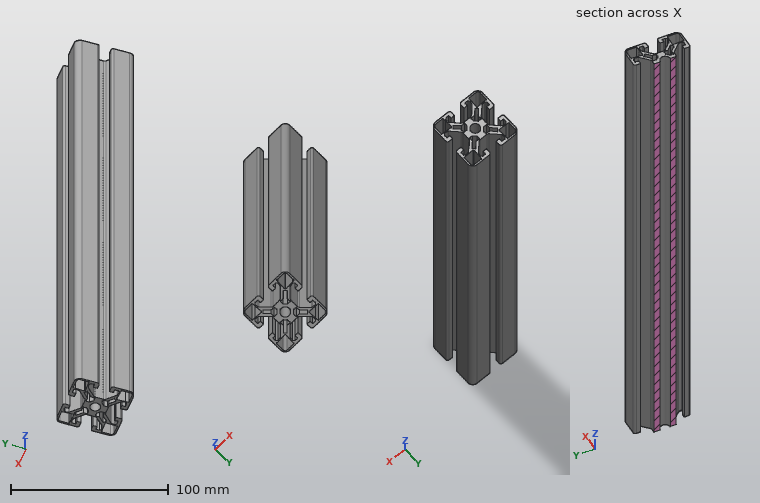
import cadquery as cq
import math

SIDE = 40.0
LENGTH = 320.0
CORNER_RADIUS = 4.0
HALF = SIDE / 2
SIDE_COUNT = 4

BORE_DIAMETER = 6.85

MOUTH_HALF_WIDTH = 4.0
MOUTH_RADIUS = 1.5
LIP_DEPTH = 4.5
LIP_THICKNESS = 2.8
LIP_ROOT_THICKNESS = 2.15
SLOT_HALF_WIDTH = 10.2
BEND_HALF_WIDTH = 9.8
BEND_RADIUS = 0.75
SLOT_ROOF_CHAMFER = 1.0
SLOT_FLOOR_HEIGHT = 8.0
SLOT_FLOOR_RADIUS = 1.8
SPOKE_OFFSET = 4.4

SKIN = 1.2
SLOT_WALL = 0.7
SPOKE_WALL = 1.9
FLOOR_WALL = 0.8
CORNER_CAVITY_RADIUS = 1.8
CORNER_CAVITY_CHAMFER = 0.4
TIE_HALF_WIDTH = 2.7
CORE_DISTANCE = 5.3
SEPARATOR_DISTANCE = 14.1


def mirror_points(points):
    """The points followed, in reverse order, by their mirror images in the Y axis."""
    return points + [(-x, y) for x, y in reversed(points)]


def make_blank():
    return cq.Workplane("XY").rect(SIDE, SIDE).extrude(LENGTH).edges("|Z").fillet(CORNER_RADIUS)


def make_mouth():
    """Opening between two lips, flared by the rounded outer edges of the lips."""
    round_start = MOUTH_HALF_WIDTH + MOUTH_RADIUS
    round_end = HALF - MOUTH_RADIUS
    mouth_bottom = SLOT_FLOOR_HEIGHT + SPOKE_OFFSET
    return (
        cq.Workplane("XY")
        .moveTo(round_start, HALF)
        .radiusArc((MOUTH_HALF_WIDTH, round_end), -MOUTH_RADIUS)
        .lineTo(MOUTH_HALF_WIDTH, mouth_bottom)
        .lineTo(-MOUTH_HALF_WIDTH, mouth_bottom)
        .lineTo(-MOUTH_HALF_WIDTH, round_end)
        .radiusArc((-round_start, HALF), -MOUTH_RADIUS)
        .close()
        .extrude(LENGTH)
    )


def make_slot():
    """T-slot in the +Y side, with hooked lips, slanting sides and a flat floor."""
    bend_height = BEND_HALF_WIDTH + SPOKE_OFFSET
    lip_tip = HALF - LIP_DEPTH
    roof = HALF - LIP_ROOT_THICKNESS
    hook = MOUTH_HALF_WIDTH + LIP_THICKNESS
    right_side = [
        (SLOT_FLOOR_HEIGHT - SPOKE_OFFSET, SLOT_FLOOR_HEIGHT),
        (BEND_HALF_WIDTH, bend_height),
        (SLOT_HALF_WIDTH, roof - SLOT_ROOF_CHAMFER),
        (SLOT_HALF_WIDTH - SLOT_ROOF_CHAMFER, roof),
        (hook, roof),
        (hook, lip_tip),
    ]
    chamber = cq.Workplane("XY").polyline(mirror_points(right_side)).close().extrude(LENGTH)
    chamber = chamber.edges("|Z and <Y").fillet(SLOT_FLOOR_RADIUS)
    for x in (-BEND_HALF_WIDTH, BEND_HALF_WIDTH):
        bend = cq.NearestToPointSelector((x, bend_height, LENGTH / 2))
        chamber = chamber.edges("|Z").edges(bend).fillet(BEND_RADIUS)
    return chamber.union(make_mouth())


def make_corner_cavity():
    """Kite-shaped cavity in the +X +Y corner, rounded outside and blunted inside."""
    inner = BEND_HALF_WIDTH + SLOT_WALL
    side = SLOT_HALF_WIDTH + SLOT_WALL
    outer = HALF - SKIN
    outline = [(inner, inner), (outer, side), (outer, outer), (side, outer)]
    cavity = cq.Workplane("XY").polyline(outline).close().extrude(LENGTH)
    cavity = cavity.edges("|Z and >(1,1,0)").fillet(CORNER_CAVITY_RADIUS)
    return cavity.edges("|Z and <(1,1,0)").chamfer(CORNER_CAVITY_CHAMFER)


def make_spoke_cavity():
    """Cavity inside the +X +Y diagonal spoke, widening under the slot floors."""
    roof = SLOT_FLOOR_HEIGHT - FLOOR_WALL
    offset = SPOKE_OFFSET - SPOKE_WALL * math.sqrt(2)
    core_sum = CORE_DISTANCE * math.sqrt(2)
    separator_sum = SEPARATOR_DISTANCE * math.sqrt(2)
    upper = [
        (TIE_HALF_WIDTH, core_sum - TIE_HALF_WIDTH),
        (TIE_HALF_WIDTH, roof),
        (roof - offset, roof),
        ((separator_sum - offset) / 2, (separator_sum + offset) / 2),
    ]
    lower = [(y, x) for x, y in reversed(upper)]
    return cq.Workplane("XY").polyline(upper + lower).close().extrude(LENGTH)


def make_bore():
    return cq.Workplane("XY").circle(BORE_DIAMETER / 2).extrude(LENGTH)


result = make_blank().cut(make_bore())
for feature in (make_slot(), make_corner_cavity(), make_spoke_cavity()):
    for turn in range(SIDE_COUNT):
        result = result.cut(feature.rotate((0, 0, 0), (0, 0, 1), turn * 360 / SIDE_COUNT))